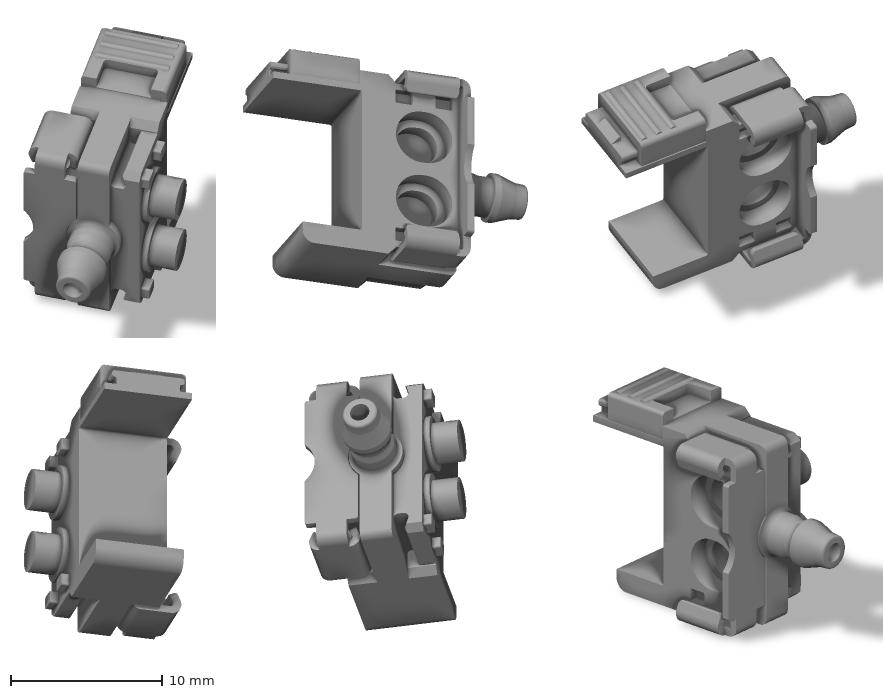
import cadquery as cq
import math


overlap = 0.19

half_width = 3.01
half_height = 6.5
web_back = 7.35
inner_corner_radius = 0.11
selection_margin = 0.02
arm_inner = 5.04
lower_arm_end = 11.5
lower_arm_radius = 0.84
tongue_end = 13.56
tongue_thickness = 0.46
tongue_top = arm_inner + tongue_thickness

rib_half_width = 1.08
rib_front_radius = 0.52
shoulder_setback = 0.55
ramp_start = 5.49
ramp_drop = 0.5
ramp_end = ramp_start - ramp_drop
lip_top = 5.9
lip_chamfer_depth = 0.52
lip_chamfer_drop = 0.43
lip_tip_radius = 0.214
lip_tip_center_x = 2.05
lip_tip_center_z = lip_top - lip_tip_radius
lip_underside_x = 1.95
lip_underside_z = lip_tip_center_z - 0.19
channel_wall_x = 2.06
channel_wall_z = 5.08
channel_floor = 4.6
channel_bulge = (2.05, 4.76)
channel_corner = 0.32

boss_radius = 1.82
barb_base_radius = 3.0 / 2
barb_neck_radius = 2.7 / 2
barb_ring_radius = 3.3 / 2
barb_nose_radius = 1.23
barb_end_radius = 1.17
barb_tip_radius = 2.0 / 2
barb_bore = 1.3
barb_bore_depth = 5.58
barb_base_end = 1.13
barb_neck_start = 1.65
barb_ring_start = 2.55
barb_ring_end = 3.0
barb_nose_start = 4.22
barb_length = 5.04

port_y = 2.98
port_z = 2.29
port_stretch = 0.28
plug_height = 2.62
flange_height = 3.55
flange_length = 0.39
plug_length = 2.18
socket_height = 3.66
socket_depth = 1.49
socket_bore_depth = 2.6

lug_spacing = 2.8
lug_z = 4.98
lug_width = 1.13
lug_height = 0.85
lug_length = 0.55
lug_corner = 0.11
pocket_width = 1.23
pocket_height = 0.95
pocket_depth = 0.61

block_half_width = 2.94
block_front = 7.45
block_back = 12.33
block_top = 7.42
block_edge_radius = 0.28
grip_count = 3
grip_pitch = 1.1
grip_first = 9.67
grip_width = 0.46
grip_rise = 0.13
grip_length = 5.0
recess_width = 3.75
recess_length = 1.95
recess_floor = 6.64
recess_corner = 0.26

rail_half_width = 2.5
rail_neck_half_width = 2.15
rail_edge_radius = 0.2
rail_lower_z = 6.12
rail_undercut_drop = 0.11
rail_neck_z = 5.88
slit_height = 0.07
slit_depth = 0.37
catch_width = 2.05
catch_length = 0.75
catch_flat = 0.05
catch_edge_radius = 0.11
catch_rise = 0.37

clip_half_width = 1.8
clip_thickness = 0.5
clip_half_height = 4.91
clip_corner = 0.19
clip_notch_radius = 1.88
tab_half_width = 1.02
tab_clearance = 0.02
clip_front = shoulder_setback - clip_thickness
clip_top = 6.42
clip_inner_top = lip_top + tab_clearance
clip_bend_radius = 0.67
clip_inner_bend_radius = clip_bend_radius - clip_thickness
hook_front = 1.06
hook_back = 4.75
hook_outer_radius = 0.7
hook_clearance = 0.028
hook_mid_angle = math.radians(35)
hook_face_z = 5.49
hook_tip_x = 1.38
hook_tip_z = 4.75
hook_tip_radius = 0.11
hook_corner = 0.4


def box(x0, x1, y0, y1, z0, z1):
    return cq.Workplane("XY").box(x1 - x0, y1 - y0, z1 - z0, centered=False).translate((x0, y0, z0))


def both_ends(shape):
    """The shape together with its copy mirrored to the bottom end."""
    return [shape, shape.mirror("XY")]


def along_x(outline, x0, x1):
    """Prism along X from a (y, z) outline."""
    return cq.Workplane("YZ").polyline(outline).close().extrude(x1 - x0).translate((x0, 0, 0))


def frame():
    """C-shaped side outline, extruded over the full width."""
    outline = (
        cq.Workplane("YZ")
        .moveTo(0, -half_height)
        .lineTo(lower_arm_end - lower_arm_radius, -half_height)
        .radiusArc((lower_arm_end, lower_arm_radius - half_height), -lower_arm_radius)
        .lineTo(lower_arm_end, -arm_inner)
        .lineTo(web_back, -arm_inner)
        .lineTo(web_back, arm_inner)
        .lineTo(tongue_end, arm_inner)
        .lineTo(tongue_end, tongue_top)
        .lineTo(block_front, tongue_top)
        .lineTo(block_front, half_height)
        .lineTo(0, half_height)
        .close()
    )
    solid = outline.extrude(half_width, both=True)
    inner_corners = cq.selectors.BoxSelector(
        (-overlap, web_back - selection_margin, -arm_inner - selection_margin),
        (overlap, web_back + selection_margin, arm_inner + selection_margin),
    )
    solid = solid.edges("|X").edges(inner_corners).fillet(inner_corner_radius)
    return solid.faces("<Y").edges("|X").fillet(rib_front_radius)


def shoulder_cut(side):
    """Room beside the rib: ramp and open space above the lip, and the set-back front."""
    inner, outer = sorted((side * rib_half_width, side * (half_width + overlap)))
    ramp_bottom = half_height - ramp_drop
    above_lip = along_x(
        [
            (-overlap, half_height + overlap),
            (-overlap, lip_top - lip_chamfer_drop),
            (shoulder_setback, lip_top - lip_chamfer_drop),
            (shoulder_setback + lip_chamfer_depth, lip_top),
            (ramp_end, lip_top),
            (ramp_end, ramp_bottom),
            (ramp_start, half_height),
            (ramp_start, half_height + overlap),
        ],
        inner,
        outer,
    )
    front = box(inner, outer, -overlap, shoulder_setback, -half_height, half_height)
    return both_ends(above_lip) + [front]


def channel_cut():
    """Undercut channel from the front to the foot of the ramp, between the rib and the rounded +X lip."""
    lip_tip = (lip_tip_center_x - lip_tip_radius, lip_tip_center_z)
    profile = (
        cq.Workplane("XZ")
        .moveTo(rib_half_width, half_height)
        .lineTo(lip_tip_center_x, half_height)
        .lineTo(lip_tip_center_x, lip_top)
        .threePointArc(lip_tip, (lip_underside_x, lip_underside_z))
        .lineTo(channel_wall_x, channel_wall_z)
        .threePointArc(channel_bulge, (channel_wall_x - channel_corner, channel_floor))
        .lineTo(rib_half_width + channel_corner, channel_floor)
        .radiusArc((rib_half_width, channel_floor + channel_corner), channel_corner)
        .close()
    )
    return profile.extrude(-ramp_end)


def hose_barb():
    root_fillet = boss_radius - barb_base_radius
    tip_round = barb_end_radius - barb_tip_radius
    profile = (
        cq.Workplane("XY")
        .moveTo(0, shoulder_setback)
        .lineTo(boss_radius, shoulder_setback)
        .lineTo(boss_radius, 0)
        .radiusArc((barb_base_radius, -root_fillet), -root_fillet)
        .lineTo(barb_base_radius, -barb_base_end)
        .lineTo(barb_neck_radius, -barb_neck_start)
        .lineTo(barb_neck_radius, -barb_ring_start)
        .lineTo(barb_ring_radius, -barb_ring_start)
        .lineTo(barb_ring_radius, -barb_ring_end)
        .lineTo(barb_nose_radius, -barb_nose_start)
        .lineTo(barb_end_radius, tip_round - barb_length)
        .radiusArc((barb_tip_radius, -barb_length), tip_round)
        .lineTo(0, -barb_length)
        .close()
    )
    return profile.revolve(360, (0, 0, 0), (0, 1, 0))


def barb_bore_cut():
    bore = cq.Workplane("XZ").circle(barb_bore / 2).extrude(-barb_bore_depth)
    return bore.translate((0, -barb_length, 0))


def port_prism(height, x0, x1, z):
    """Round-ended prism along X at one port."""
    outline = cq.Workplane("YZ").center(port_y, z).slot2D(height + port_stretch, height)
    return outline.extrude(x1 - x0).translate((x0, 0, 0))


def rounded_peg(width, height, x0, x1, y, z):
    peg = cq.Workplane("YZ").rect(width, height).extrude(x1 - x0).edges("|X").fillet(lug_corner)
    return peg.translate((x0, y, z))


def lug_places():
    return [
        (port_y + y_side * lug_spacing / 2, z_side * lug_z)
        for y_side in (-1, 1)
        for z_side in (-1, 1)
    ]


def grip_block():
    block = box(-block_half_width, block_half_width, block_front, block_back, tongue_top, block_top)
    block = block.faces(">Z").edges("|Y").fillet(block_edge_radius)
    recess = box(
        -recess_width / 2,
        recess_width / 2,
        block_front - overlap,
        block_front + recess_length,
        recess_floor,
        block_top + overlap,
    )
    block = block.cut(recess.faces(">Y").edges("|Z").fillet(recess_corner))
    for index in range(grip_count):
        y = grip_first + index * grip_pitch
        ridge = (
            cq.Workplane("YZ")
            .moveTo(y - grip_width / 2, block_top)
            .threePointArc((y, block_top + grip_rise), (y + grip_width / 2, block_top))
            .close()
            .extrude(grip_length / 2, both=True)
        )
        block = block.union(ridge)
    return block


def rail():
    """T-shaped rail: rounded top edges, sloping undercut and a filleted neck."""
    undercut_x = rail_half_width - rail_undercut_drop
    undercut_z = rail_lower_z - rail_undercut_drop
    neck_radius = undercut_z - rail_neck_z
    half = (
        cq.Workplane("XZ")
        .moveTo(0, tongue_top)
        .lineTo(rail_neck_half_width, tongue_top)
        .lineTo(rail_neck_half_width, rail_neck_z)
        .radiusArc((rail_neck_half_width + neck_radius, undercut_z), neck_radius)
        .lineTo(undercut_x, undercut_z)
        .lineTo(rail_half_width, rail_lower_z)
        .lineTo(rail_half_width, half_height - rail_edge_radius)
        .radiusArc((rail_half_width - rail_edge_radius, half_height), -rail_edge_radius)
        .lineTo(0, half_height)
        .close()
        .extrude(block_back - tongue_end)
        .translate((0, block_back, 0))
    )
    return half.union(half.mirror("YZ"))


def slit_cut():
    """Narrow gap under the front of the grip block, as wide as the rail."""
    slit_back = block_front + slit_depth
    slit_top = half_height + slit_height
    return box(-rail_half_width, rail_half_width, block_front, slit_back, half_height, slit_top)


def catch():
    front = tongue_end - catch_length
    top = half_height + catch_rise
    profile = (
        cq.Workplane("YZ")
        .moveTo(tongue_end, half_height)
        .lineTo(front + catch_edge_radius + catch_flat, top)
        .lineTo(front + catch_edge_radius, top)
        .radiusArc((front, top - catch_edge_radius), -catch_edge_radius)
        .lineTo(front, half_height)
        .close()
    )
    return profile.extrude(catch_width / 2, both=True)


def make_housing():
    solid = frame()
    for side in (-1, 1):
        for cut in shoulder_cut(side):
            solid = solid.cut(cut)
    for channel in both_ends(channel_cut()):
        solid = solid.cut(channel).cut(channel.mirror("YZ"))
    solid = solid.union(grip_block()).cut(slit_cut()).union(rail()).union(catch())
    solid = solid.union(hose_barb()).cut(barb_bore_cut())
    for z in (-port_z, port_z):
        solid = solid.union(port_prism(flange_height, half_width, half_width + flange_length, z))
        solid = solid.union(port_prism(plug_height, half_width, half_width + plug_length, z))
        solid = solid.cut(port_prism(socket_height, -half_width, socket_depth - half_width, z))
        solid = solid.cut(port_prism(plug_height, -half_width, socket_bore_depth - half_width, z))
    for y, z in lug_places():
        solid = solid.union(rounded_peg(lug_width, lug_height, half_width, half_width + lug_length, y, z))
        pocket_floor = pocket_depth - half_width
        solid = solid.cut(rounded_peg(pocket_width, pocket_height, -half_width, pocket_floor, y, z))
    return solid


def clip_plate():
    """Front plate with a round notch on each long side."""
    plate = box(
        -clip_half_width, clip_half_width, clip_front, shoulder_setback, -clip_half_height, clip_half_height
    )
    plate = plate.edges("|Y").fillet(clip_corner)
    for side in (-1, 1):
        outline = cq.Workplane("XZ").center(side * half_width, 0).circle(clip_notch_radius)
        notch = outline.extrude(-shoulder_setback)
        plate = plate.cut(notch)
    return plate


def clip_tab():
    """Strip bent from the front plate back over the lips."""
    strip = (
        cq.Workplane("YZ")
        .moveTo(clip_front, 0)
        .lineTo(clip_front, clip_top - clip_bend_radius)
        .radiusArc((clip_front + clip_bend_radius, clip_top), clip_bend_radius)
        .lineTo(hook_back, clip_top)
        .lineTo(hook_back, clip_inner_top)
        .lineTo(shoulder_setback + clip_inner_bend_radius, clip_inner_top)
        .radiusArc((shoulder_setback, clip_inner_top - clip_inner_bend_radius), -clip_inner_bend_radius)
        .lineTo(shoulder_setback, 0)
        .close()
    )
    return strip.extrude(tab_half_width, both=True)


def clip_hook():
    """Hook curling round one lip, on the +X side of the clip."""
    outer_center_z = clip_top - hook_outer_radius
    face_angle = math.asin((hook_face_z - outer_center_z) / hook_outer_radius)
    face_start_x = tab_half_width + hook_outer_radius * math.cos(face_angle)
    outer_middle = (
        tab_half_width + hook_outer_radius * math.cos(hook_mid_angle),
        outer_center_z + hook_outer_radius * math.sin(hook_mid_angle),
    )
    lip_center_x = half_width - lip_tip_center_x
    inner_radius = lip_tip_radius + hook_clearance
    inner_middle = (lip_center_x + inner_radius, lip_tip_center_z)
    inner_end = (half_width - lip_underside_x + hook_clearance, lip_underside_z - hook_clearance)
    tip_inner_x = half_width - channel_wall_x + hook_clearance
    profile = (
        cq.Workplane("XZ")
        .moveTo(lip_center_x, clip_top)
        .lineTo(tab_half_width, clip_top)
        .threePointArc(outer_middle, (face_start_x, hook_face_z))
        .lineTo(hook_tip_x, hook_tip_z)
        .lineTo(tip_inner_x, hook_tip_z)
        .lineTo(tip_inner_x, channel_wall_z)
        .lineTo(*inner_end)
        .threePointArc(inner_middle, (lip_center_x, lip_tip_center_z + inner_radius))
        .close()
    )
    hook = profile.extrude(hook_front - hook_back).translate((0, hook_front, 0))

    slope = math.degrees(math.atan2(face_start_x - hook_tip_x, hook_face_z - hook_tip_z))
    blank = box(-half_width, 0, hook_front, hook_back, 0, half_height)
    rounded_edge = blank.faces("<Z").edges(">X").fillet(hook_tip_radius)
    rounded_corners = blank.faces("<Z").edges("|X").fillet(hook_corner)
    envelope = rounded_edge.intersect(rounded_corners)
    envelope = envelope.rotate((0, 0, 0), (0, 1, 0), slope).translate((hook_tip_x, 0, hook_tip_z))
    tip_zone = box(0, half_width, hook_front, hook_back, 0, hook_face_z)
    return hook.cut(tip_zone.cut(envelope))


def make_clip():
    solid = clip_plate()
    hook = clip_hook()
    for part in (clip_tab(), hook, hook.mirror("YZ")):
        for copy in both_ends(part):
            solid = solid.union(copy)
    return solid.translate((-half_width, 0, 0))


housing = make_housing()
clip = make_clip()
result = cq.Compound.makeCompound([housing.val(), clip.val()])